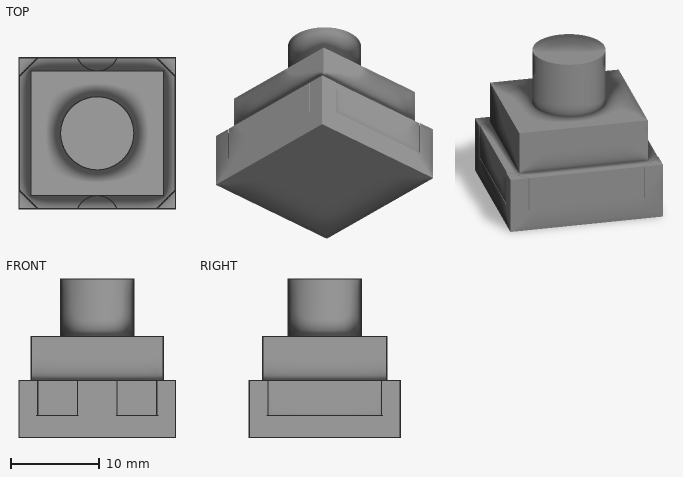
import cadquery as cq
import math

base_width = 17.8
base_depth = 17.15
base_height = 6.5
pocket_floor = 2.5

corner_face = 3.0
side_clearance = 0.075
key_width = 4.5
key_reach = 1.5

block_width = 15.0
block_depth = 14.1
block_height = 5.0
stem_diameter = 8.3
stem_height = 6.5

flange_width = base_width - 2 * side_clearance
flange_height = base_height - pocket_floor
corner_cut = corner_face / math.sqrt(2)
key_radius = ((key_width / 2) ** 2 + key_reach**2) / (2 * key_reach)
key_center = base_depth / 2 - key_reach + key_radius


def keyed_octagon(width):
    """Cut-corner slab at pocket level, with a round notch in the front and back edges."""
    slab = (
        cq.Workplane("XY")
        .workplane(offset=pocket_floor)
        .rect(width, base_depth)
        .extrude(flange_height)
        .edges("|Z")
        .chamfer(corner_cut)
    )
    notches = (
        cq.Workplane("XY")
        .workplane(offset=pocket_floor)
        .pushPoints([(0, -key_center), (0, key_center)])
        .circle(key_radius)
        .extrude(flange_height)
    )
    return slab.cut(notches)


def make_base():
    """Block whose pocket opens through all four sides, leaving corner posts and two keys."""
    block = cq.Workplane("XY").box(base_width, base_depth, base_height, centered=(True, True, False))
    return block.cut(keyed_octagon(base_width))


def make_plunger():
    """Keyed flange, rectangular block and round stem, stacked as one solid."""
    block = (
        cq.Workplane("XY")
        .workplane(offset=base_height)
        .rect(block_width, block_depth)
        .extrude(block_height)
    )
    stem = (
        cq.Workplane("XY")
        .workplane(offset=base_height + block_height)
        .circle(stem_diameter / 2)
        .extrude(stem_height)
    )
    return keyed_octagon(flange_width).union(block).union(stem)


base = make_base()
plunger = make_plunger()

result = cq.Compound.makeCompound([base.val(), plunger.val()])